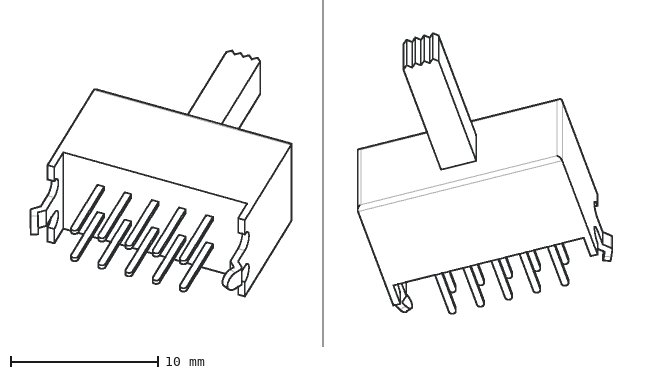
import cadquery as cq
import math


body_width = 14.5
body_height = 7.0
body_depth = 6.9
back_edge_radius = 0.3

plate_thickness = 0.5
plate_overhang = 1.6
notch_radius = 0.73

clip_width = 1.45
clip_straight = 1.19
clip_outward_angle = 45
clip_span = 15.5
clip_reach = clip_span / 2
clip_inward_angle = 24
clip_tip_length = 1.27
clip_elbow_radius = 0.2

lever_width = 2.5
lever_height = 3.0
lever_length = 9.0
tooth_count = 4
tooth_depth = 0.3

pin_columns = 5
pin_rows = 2
pin_column_pitch = 2.0
pin_row_pitch = 2.5
pin_width = 0.5
pin_thickness = 0.31
overall_length = 20.8

plate_end_y = -body_depth - plate_overhang
pin_end_y = lever_length - overall_length


def make_body():
    """Plain block whose four back edges are rounded."""
    body = cq.Workplane("XY").box(body_width, body_depth, body_height).translate((0, -body_depth / 2, 0))
    return body.faces(">Y").edges().fillet(back_edge_radius)


def make_plate():
    """Right-hand plate with a half-round notch on each side of the clip."""
    plate = cq.Workplane("XY").box(plate_thickness, plate_overhang, body_height)
    plate = plate.translate(((body_width - plate_thickness) / 2, -body_depth - plate_overhang / 2, 0))
    notch_z = clip_width / 2 + notch_radius
    notches = (
        cq.Workplane("YZ")
        .pushPoints([(plate_end_y, notch_z), (plate_end_y, -notch_z)])
        .circle(notch_radius)
        .extrude(body_width)
    )
    return plate.cut(notches)


def make_clip():
    """Right-hand clip: bent outwards, then back inwards, with a full-round tip."""
    outward = math.radians(clip_outward_angle)
    inward = math.radians(clip_inward_angle)
    outer_x = body_width / 2
    inner_x = outer_x - plate_thickness
    bend_y = plate_end_y - clip_straight

    inner_bend_y = bend_y - plate_thickness * math.tan(outward / 2)

    arc_x = clip_reach - clip_elbow_radius
    slope_end_x = arc_x + clip_elbow_radius * math.cos(outward)
    slope_end_y = bend_y - (slope_end_x - outer_x) / math.tan(outward)
    arc_y = slope_end_y - clip_elbow_radius * math.sin(outward)

    bisector = (outward - inward) / 2
    corner_gap = (plate_thickness - clip_elbow_radius) / math.cos((outward + inward) / 2)
    inner_corner = (arc_x - corner_gap * math.cos(bisector), arc_y - corner_gap * math.sin(bisector))

    def tip_point(depth):
        """Centre of the tip's rounding, at a depth below the outer face."""
        across = clip_elbow_radius - depth
        along = clip_tip_length - clip_width / 2
        return (
            arc_x + across * math.cos(inward) - along * math.sin(inward),
            arc_y - across * math.sin(inward) - along * math.cos(inward),
        )

    strip = (
        cq.Workplane("XY")
        .moveTo(outer_x, plate_end_y)
        .lineTo(outer_x, bend_y)
        .lineTo(slope_end_x, slope_end_y)
        .threePointArc(
            (clip_reach, arc_y),
            (arc_x + clip_elbow_radius * math.cos(inward), arc_y - clip_elbow_radius * math.sin(inward)),
        )
        .lineTo(*tip_point(0))
        .lineTo(*tip_point(plate_thickness))
        .lineTo(*inner_corner)
        .lineTo(inner_x, inner_bend_y)
        .lineTo(inner_x, plate_end_y)
        .close()
        .extrude(clip_width / 2, both=True)
    )
    tip_radius = clip_width / 2
    tip_plane = cq.Plane(
        origin=(*tip_point(plate_thickness), 0),
        xDir=(0, 0, 1),
        normal=(math.cos(inward), -math.sin(inward), 0),
    )
    half_round = (
        cq.Workplane(tip_plane)
        .moveTo(-tip_radius, 0)
        .threePointArc((0, tip_radius), (tip_radius, 0))
        .close()
        .extrude(plate_thickness)
    )
    return strip.union(half_round)


def make_lever():
    """Rectangular bar whose free end is serrated along X."""
    pitch = lever_width / tooth_count
    left = -lever_width / 2
    valley_y = lever_length - tooth_depth
    outline = cq.Workplane("XY").moveTo(left, 0).lineTo(left, valley_y)
    for tooth in range(tooth_count):
        start = left + tooth * pitch
        outline = outline.lineTo(start + pitch / 2, lever_length).lineTo(start + pitch, valley_y)
    return outline.lineTo(-left, 0).close().extrude(lever_height / 2, both=True)


def make_pins():
    """Grid of flat pins with full-round ends."""
    radius = pin_width / 2
    pin = (
        cq.Workplane("XY")
        .moveTo(-radius, -body_depth)
        .lineTo(-radius, pin_end_y + radius)
        .threePointArc((0, pin_end_y), (radius, pin_end_y + radius))
        .lineTo(radius, -body_depth)
        .close()
        .extrude(pin_thickness / 2, both=True)
    )
    pins = cq.Workplane("XY")
    for column in range(pin_columns):
        for row in range(pin_rows):
            x = (column - (pin_columns - 1) / 2) * pin_column_pitch
            z = (row - (pin_rows - 1) / 2) * pin_row_pitch
            pins = pins.add(pin.translate((x, 0, z)))
    return pins.combine()


side = make_plate().union(make_clip())
result = make_body().union(side).union(side.mirror("YZ")).union(make_lever()).union(make_pins())